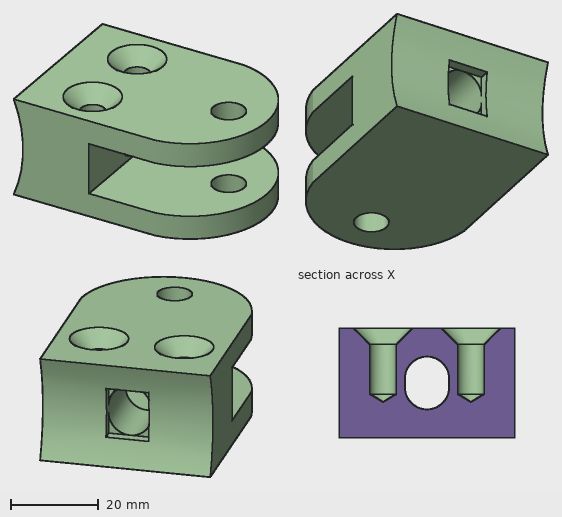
import cadquery as cq
import math

LENGTH = 54.95
WIDTH = 40.0
HEIGHT = 25.0
ROUND_START_X = 37.35

SADDLE_DEPTH = 2.45
PAD_THICKNESS = 2.0
PASSAGE_WIDTH = 10.0
PASSAGE_HEIGHT = 12.0

FORK_FLOOR_X = 19.9
FORK_GAP = 13.0
PIN_DIAMETER = 8.0
PIN_X = 45.0

SCREW_X = 15.0
SCREW_SPACING = 20.0
SCREW_DIAMETER = 6.0
COUNTERSINK_DIAMETER = 13.45
COUNTERSINK_ANGLE = 90.0
SCREW_DEPTH = 15.0
DRILL_TIP_ANGLE = 118.0


def make_body():
    """Plate outline with a rounded +X end."""
    half_width = WIDTH / 2
    return (
        cq.Workplane("XY", origin=(0, 0, -HEIGHT / 2))
        .moveTo(0, -half_width)
        .lineTo(ROUND_START_X, -half_width)
        .threePointArc((LENGTH, 0), (ROUND_START_X, half_width))
        .lineTo(0, half_width)
        .close()
        .extrude(HEIGHT)
    )


def make_saddle():
    """Circular segment that hollows the -X end along Y."""
    return (
        cq.Workplane("XZ")
        .moveTo(0, -HEIGHT / 2)
        .threePointArc((SADDLE_DEPTH, 0), (0, HEIGHT / 2))
        .close()
        .extrude(WIDTH / 2, both=True)
    )


def make_fork_gap():
    """Slot between the two fork arms, open at the +X end."""
    gap_length = LENGTH - FORK_FLOOR_X
    return (
        cq.Workplane("XY")
        .box(gap_length, WIDTH, FORK_GAP, centered=(False, True, True))
        .translate((FORK_FLOOR_X, 0, 0))
    )


def make_passage():
    """Rectangular opening in the saddle pad, continued as an oblong hole to the fork gap."""
    window_depth = SADDLE_DEPTH + PAD_THICKNESS
    window = cq.Workplane("YZ").rect(PASSAGE_WIDTH, PASSAGE_HEIGHT).extrude(window_depth)
    oblong = (
        cq.Workplane("YZ")
        .slot2D(PASSAGE_HEIGHT, PASSAGE_WIDTH, 90)
        .extrude(FORK_FLOOR_X)
    )
    return window.union(oblong)


def make_screw_hole(y):
    """Countersunk hole from the top face, ending in a drill point."""
    radius = SCREW_DIAMETER / 2
    sink_radius = COUNTERSINK_DIAMETER / 2
    sink_depth = (sink_radius - radius) / math.tan(math.radians(COUNTERSINK_ANGLE / 2))
    tip_depth = radius / math.tan(math.radians(DRILL_TIP_ANGLE / 2))
    profile = [
        (0, 0),
        (sink_radius, 0),
        (radius, -sink_depth),
        (radius, -SCREW_DEPTH),
        (0, -SCREW_DEPTH - tip_depth),
    ]
    return (
        cq.Workplane("XZ")
        .polyline(profile)
        .close()
        .revolve(360, (0, 0, 0), (0, 1, 0))
        .translate((SCREW_X, y, HEIGHT / 2))
    )


def make_pin_hole():
    """Hole through both fork arms."""
    return (
        cq.Workplane("XY")
        .center(PIN_X, 0)
        .circle(PIN_DIAMETER / 2)
        .extrude(HEIGHT / 2, both=True)
    )


result = make_body().cut(make_saddle()).cut(make_fork_gap()).cut(make_passage())
result = result.cut(make_pin_hole())
for side in (-1, 1):
    result = result.cut(make_screw_hole(side * SCREW_SPACING / 2))